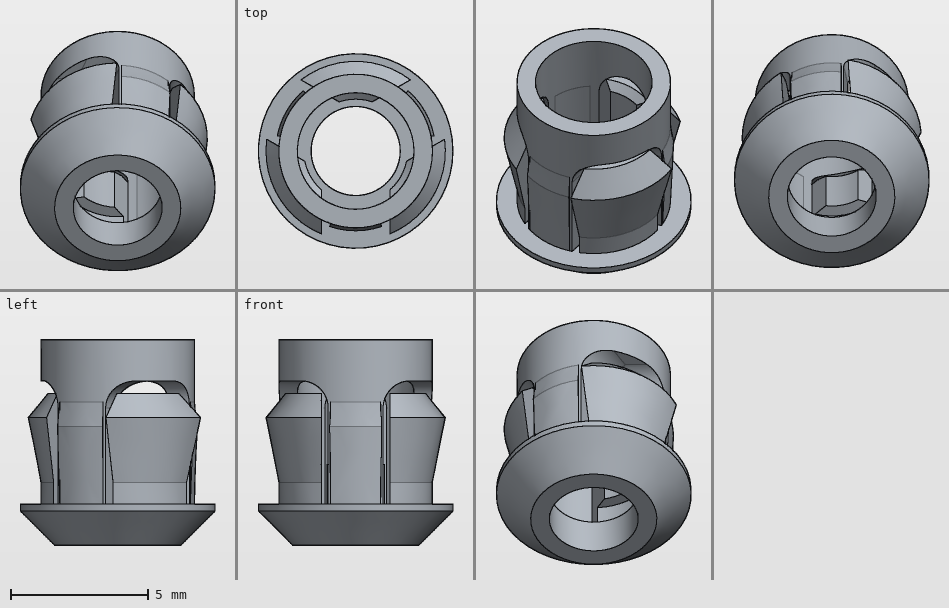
import cadquery as cq
import math

total_height = 7.5
head_top = 1.5
head_rim_thickness = 0.25
window_top = 6.0
finger_top = 5.54
finger_crest = 4.66
finger_taper_start = 2.29
finger_recess_top = 2.94
finger_lead_in_depth = 0.25
pad_crest = 4.33
pad_top = 5.23

head_radius = 3.55
head_small_radius = head_radius - (head_top - head_rim_thickness)
through_hole_radius = 3.24 / 2
bore_radius = 4.25 / 2
sleeve_radius = 5.6 / 2
finger_crest_radius = 3.27
finger_top_radius = 2.55
finger_inner_radius = 1.89
finger_lead_in_radius = 2.21
finger_recess_radius = 2.3
pad_crest_radius = 2.91

pillar_count = 3
pillar_step = 360 / pillar_count
pillar_half_width = 1.0
slot_half_width = 1.25
window_corner_radius = 1.0
pad_span = 38.0

reach = head_radius + 1.0


def ring(points):
    """Revolve a closed (radius, height) outline once about Z."""
    return cq.Workplane("XZ").polyline(points).close().revolve(360, (0, 0), (0, 1))


def around_axis(body):
    """Repeat a body made on the -Y side at every pillar position."""
    copies = body
    for index in range(1, pillar_count):
        copies = copies.union(body.rotate((0, 0, 0), (0, 0, 1), index * pillar_step))
    return copies


def make_head():
    """Conical head with a thin rim and the through hole."""
    return ring([
        (through_hole_radius, 0),
        (head_small_radius, 0),
        (head_radius, head_top - head_rim_thickness),
        (head_radius, head_top),
        (through_hole_radius, head_top),
    ])


def make_sleeve():
    """Sleeve standing on three pillars, with round-cornered windows between them."""
    tube = ring([
        (bore_radius, head_top),
        (sleeve_radius, head_top),
        (sleeve_radius, total_height),
        (bore_radius, total_height),
    ])
    arch_foot = window_top - window_corner_radius
    flare_half_width = pillar_half_width + window_corner_radius
    arc_offset = window_corner_radius * math.sqrt(0.5)
    arc_x = flare_half_width - arc_offset
    arc_z = arch_foot + arc_offset
    pillar = (
        cq.Workplane("XZ")
        .moveTo(-pillar_half_width, head_top)
        .lineTo(pillar_half_width, head_top)
        .lineTo(pillar_half_width, arch_foot)
        .threePointArc((arc_x, arc_z), (flare_half_width, window_top))
        .lineTo(-flare_half_width, window_top)
        .threePointArc((-arc_x, arc_z), (-pillar_half_width, arch_foot))
        .close()
        .extrude(reach)
    )
    collar = (
        cq.Workplane("XY")
        .workplane(offset=window_top)
        .circle(reach)
        .extrude(total_height - window_top)
    )
    return tube.intersect(around_axis(pillar).union(collar))


def make_fingers():
    """Three barbed snap fingers, parted by parallel-sided slots at the pillars."""
    barb = ring([
        (finger_recess_radius, head_top),
        (sleeve_radius, head_top),
        (sleeve_radius, finger_taper_start),
        (finger_crest_radius, finger_crest),
        (finger_top_radius, finger_top),
        (finger_lead_in_radius, finger_top),
        (finger_inner_radius, finger_top - finger_lead_in_depth),
        (finger_inner_radius, finger_recess_top),
        (finger_recess_radius, finger_recess_top),
    ])
    slot = (
        cq.Workplane("XY")
        .workplane(offset=head_top)
        .center(0, -reach / 2)
        .rect(2 * slot_half_width, reach)
        .extrude(finger_top - head_top)
    )
    return barb.cut(around_axis(slot))


def make_pads():
    """Shallow bulges on the outside of the pillars."""
    pad = (
        cq.Workplane("XZ")
        .polyline([
            (bore_radius, head_top),
            (sleeve_radius, head_top),
            (pad_crest_radius, pad_crest),
            (sleeve_radius, pad_top),
            (bore_radius, pad_top),
        ])
        .close()
        .revolve(pad_span, (0, 0), (0, 1))
        .rotate((0, 0, 0), (0, 0, 1), -90 - pad_span / 2)
    )
    return around_axis(pad)


result = make_head().union(make_sleeve()).union(make_fingers()).union(make_pads())